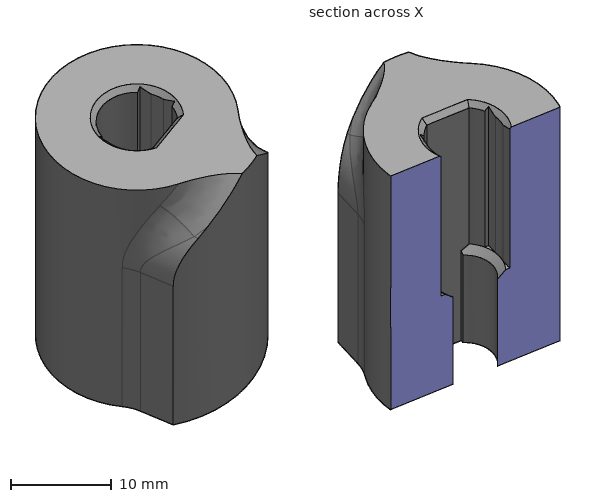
import cadquery as cq
import math

height = 30.88
body_radius = 10.082
lug_radius = 13.015
lug_half_width = 9.0
shoulder_z = 19.73
fillet_radius = 5.0
shoulder_angle = math.radians(40)
crown_tip_y = 1.08

bore_radius = 4.05
bore_flat_x = 3.2
bore_depth = 18.53
bore_chamfer = 0.6
hole_radius = 3.25
seat_depth = bore_radius - hole_radius
notch_half_width = 1.55
groove_half_width = 1.98
groove_y = 3.98

stock_reach = 18.53


def centered_box(size_x, size_y, bottom, top):
    return cq.Workplane("XY").workplane(offset=bottom).rect(size_x, size_y).extrude(top - bottom)


def blended_lug():
    """Body and oversized lug, with both lug sides blended into the body."""
    half_turn = shoulder_angle / 2
    mid_y = lug_half_width * math.cos(half_turn)
    mid_z = shoulder_z + lug_half_width * math.sin(half_turn)
    crown_y = lug_half_width * math.cos(shoulder_angle)
    crown_z = shoulder_z + lug_half_width * math.sin(shoulder_angle)
    half_lug = (
        cq.Workplane("YZ")
        .lineTo(lug_half_width, 0)
        .lineTo(lug_half_width, shoulder_z)
        .threePointArc((mid_y, mid_z), (crown_y, crown_z))
        .tangentArcPoint((crown_tip_y, height), relative=False)
        .lineTo(0, height)
        .close()
        .extrude(stock_reach)
    )
    lug = half_lug.union(half_lug.mirror("XZ")).clean()
    body = cq.Workplane("XY").circle(body_radius).extrude(height)
    blended = body.union(lug)
    joint_x = math.sqrt(body_radius**2 - lug_half_width**2)
    joints = blended.edges(cq.selectors.NearestToPointSelector((joint_x, lug_half_width, shoulder_z / 2)))
    joints = joints.add(
        blended.edges(cq.selectors.NearestToPointSelector((joint_x, -lug_half_width, shoulder_z / 2))))
    return joints.fillet(fillet_radius)


def outer_body():
    envelope = cq.Workplane("XY").circle(lug_radius).extrude(height)
    return blended_lug().intersect(envelope)


def d_profile(z, growth=0.0):
    """D-shaped outline at height z, offset outward by growth."""
    radius = bore_radius + growth
    flat_x = bore_flat_x + growth
    flat_y = math.sqrt(radius**2 - flat_x**2)
    return (
        cq.Workplane("XY").workplane(offset=z)
        .moveTo(flat_x, -flat_y)
        .lineTo(flat_x, flat_y)
        .threePointArc((-radius, 0), (flat_x, -flat_y))
        .close()
    )


def bore():
    floor_z = height - bore_depth
    straight = d_profile(floor_z).extrude(bore_depth)
    lower = d_profile(height - bore_chamfer).wires().val()
    upper = d_profile(height, bore_chamfer).wires().val()
    mouth = cq.Workplane(cq.Solid.makeLoft([lower, upper], True))
    seat_bottom = floor_z - seat_depth
    seat = cq.Workplane(cq.Solid.makeCone(
        hole_radius, bore_radius, seat_depth, cq.Vector(0, 0, seat_bottom)))
    seat = seat.intersect(d_profile(seat_bottom).extrude(seat_depth))
    hole = cq.Workplane("XY").circle(hole_radius).extrude(height)
    hole = hole.intersect(d_profile(0).extrude(height))
    notch = centered_box(2 * bore_flat_x, 2 * notch_half_width, 0, floor_z)
    notch = notch.intersect(cq.Workplane("XY").box(stock_reach, stock_reach, 2 * height)
                            .translate((stock_reach / 2, 0, 0)))
    grooves = centered_box(2 * groove_half_width, 2 * groove_y, floor_z, height)
    return straight.union(mouth).union(seat).union(hole).union(notch).union(grooves)


result = outer_body().cut(bore())